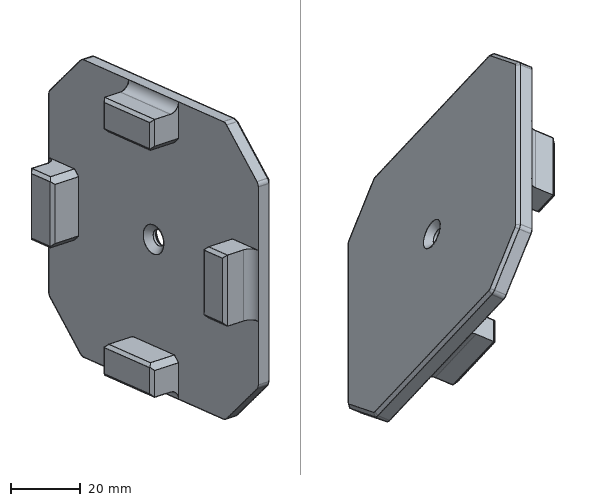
import cadquery as cq

side = 92.0
total_depth = 15.0
plate_thickness = 5.0
corner_cut = 14.5
corner_radius = 2.0
back_chamfer = 1.0

foot_width = 22.0
foot_thickness = 10.1
foot_inset = 3.0
foot_height = total_depth - plate_thickness
foot_chamfer = 1.0
foot_corner_chamfer = 1.8

hole_diameter = 5.0
countersink_diameter = 9.0

half_side = side / 2


def make_plate():
    """Octagonal plate with its front face on Y = 0 and a chamfered back rim."""
    plate = cq.Workplane("XZ").rect(side, side).extrude(-plate_thickness)
    plate = plate.edges("|Y").chamfer(corner_cut)
    plate = plate.edges("|Y").fillet(corner_radius)
    return plate.faces(">Y").chamfer(back_chamfer)


def make_foot():
    """Foot at the +Z side, including the fillet that runs out to the plate edge."""
    outer_z = half_side - foot_inset
    inner_z = outer_z - foot_thickness
    block = (
        cq.Workplane("XY")
        .box(foot_width, foot_height, foot_thickness, centered=(True, False, False))
        .translate((0, -foot_height, inner_z))
    )
    block = block.faces("<Y").chamfer(foot_chamfer)

    corner_x = foot_width / 2
    for sign in (-1, 1):
        corner = (
            cq.Workplane("XZ")
            .moveTo(sign * corner_x, inner_z)
            .lineTo(sign * (corner_x - foot_corner_chamfer), inner_z)
            .lineTo(sign * corner_x, inner_z + foot_corner_chamfer)
            .close()
            .extrude(foot_height)
        )
        block = block.cut(corner)

    fillet = (
        cq.Workplane("YZ", origin=(-foot_width / 2, 0, 0))
        .moveTo(0, outer_z)
        .lineTo(0, half_side)
        .radiusArc((-foot_inset, outer_z), foot_inset)
        .close()
        .extrude(foot_width)
    )
    return block.union(fillet)


def make_countersink(face_y, inward):
    """Hole through the plate with a cone opening at one face; inward is +1 or -1 along Y."""
    hole_radius = hole_diameter / 2
    mouth_radius = countersink_diameter / 2
    cone_depth = mouth_radius - hole_radius
    return (
        cq.Workplane("XY")
        .moveTo(0, face_y)
        .lineTo(mouth_radius, face_y)
        .lineTo(hole_radius, face_y + inward * cone_depth)
        .lineTo(hole_radius, face_y + inward * plate_thickness)
        .lineTo(0, face_y + inward * plate_thickness)
        .close()
        .revolve(360, (0, 0, 0), (0, 1, 0))
    )


result = make_plate()
foot = make_foot()
for quarter_turn in range(4):
    result = result.union(foot.rotate((0, 0, 0), (0, 1, 0), 90 * quarter_turn))

for face_y, inward in ((0, 1), (plate_thickness, -1)):
    result = result.cut(make_countersink(face_y, inward))